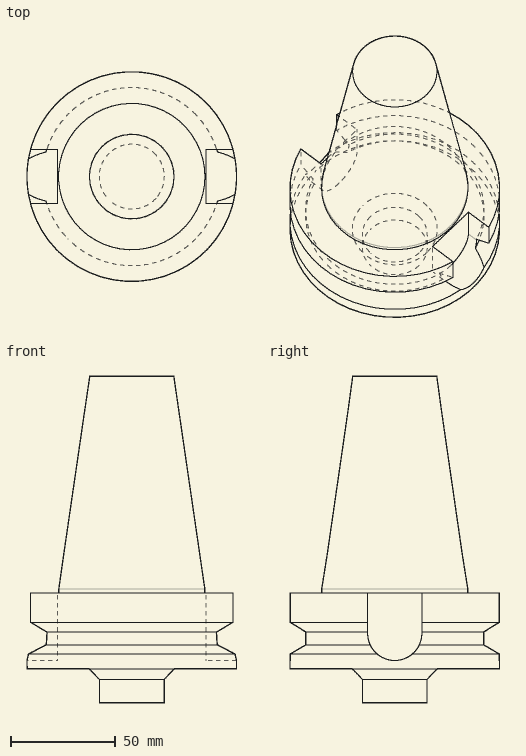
import cadquery as cq

nose_top = 11.2
flange_bottom = 16.2
lower_rim_top = 23.4
groove_bottom = 27.7
groove_top = 33.8
upper_rim_bottom = 38.5
flange_top = 52.5
taper_start = 54.4
total_height = 155.8

nose_diameter = 31.0
nose_cone_diameter = 40.5
flange_diameter = 100.0
groove_diameter = 85.0
gauge_diameter = 69.8
taper_ratio = 7 / 24
small_end_diameter = gauge_diameter - taper_ratio * (total_height - taper_start)

slot_width = 25.9
slot_bottom = 20.3
slot_floor_spacing = 70.7


def turned_body():
    """Revolve the nose, grooved flange and steep taper about Z."""
    stations = [
        (nose_diameter, 0),
        (nose_diameter, nose_top),
        (nose_cone_diameter, flange_bottom),
        (flange_diameter, flange_bottom),
        (flange_diameter, lower_rim_top),
        (groove_diameter, groove_bottom),
        (groove_diameter, groove_top),
        (flange_diameter, upper_rim_bottom),
        (flange_diameter, flange_top),
        (gauge_diameter, flange_top),
        (gauge_diameter, taper_start),
        (small_end_diameter, total_height),
    ]
    outline = [(diameter / 2, height) for diameter, height in stations]
    profile = cq.Workplane("XZ").polyline([(0, 0), *outline, (0, total_height)]).close()
    return profile.revolve(360, (0, 0, 0), (0, 1, 0))


def drive_slot(side):
    """Round-bottomed slot cutter, open at the top; side is -1 or +1 along X."""
    half_width = slot_width / 2
    arc_center = slot_bottom + half_width
    depth = (flange_diameter - slot_floor_spacing) / 2
    return (
        cq.Workplane("YZ", origin=(side * slot_floor_spacing / 2, 0, 0))
        .moveTo(-half_width, flange_top)
        .lineTo(-half_width, arc_center)
        .threePointArc((0, slot_bottom), (half_width, arc_center))
        .lineTo(half_width, flange_top)
        .close()
        .extrude(side * depth)
    )


result = turned_body()
for slot_side in (-1, 1):
    result = result.cut(drive_slot(slot_side))